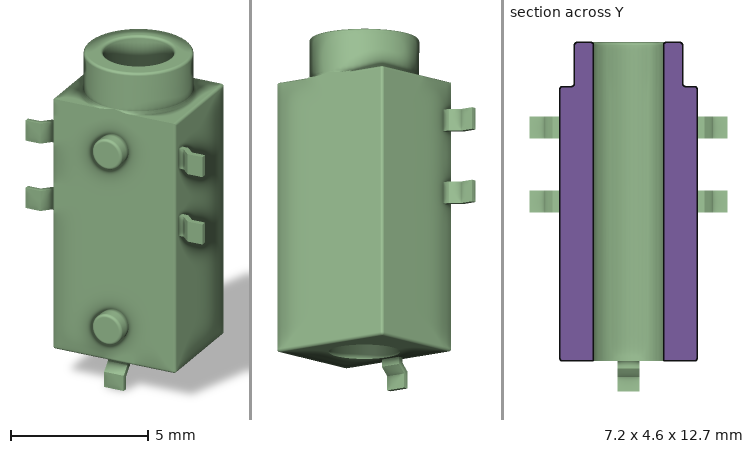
import cadquery as cq
import math

overall_width = 7.2
overall_height = 12.7

block_width = 5.0
block_depth = 4.0
block_height = 10.0
edge_radius = 0.1
land_width = 2.0
board_y = -block_depth / 2

lead_reach = (overall_width - block_width) / 2
lead_width = 0.8
lead_thickness = 0.2
foot_length = 0.61
bend_rise = 0.3
side_lead_heights = (5.8, 8.5)

barrel_radius = block_depth / 2
barrel_height = overall_height - block_height - lead_reach
rim_radius = 0.1
collar_radius = 0.1
bore_radius = 2.6 / 2

peg_diameter = 1.2
peg_length = 0.6
peg_edge_radius = 0.1
peg_heights = (1.5, 8.5)


def make_block():
    """Block with all edges rounded except the top edge on the board side."""
    block = cq.Workplane("XY").box(block_width, block_depth, block_height, centered=(True, True, False))
    return block.edges("not(>Z and <Y)").fillet(edge_radius)


def make_edge_land():
    """Square stretch of the rear top edge that carries the back of the barrel."""
    land = cq.Workplane("XY").box(land_width, edge_radius, edge_radius, centered=(True, False, False))
    return land.translate((0, block_depth / 2 - edge_radius, block_height - edge_radius))


def make_barrel():
    """Solid barrel whose collar is trimmed flush with the front and back of the block."""
    barrel = cq.Workplane("XY").circle(barrel_radius).extrude(barrel_height)
    barrel = barrel.faces(">Z").edges().fillet(rim_radius)
    arc_offset = collar_radius * (1 - math.sin(math.radians(45)))
    collar = (
        cq.Workplane("XZ")
        .lineTo(barrel_radius + collar_radius, 0)
        .threePointArc((barrel_radius + arc_offset, arc_offset), (barrel_radius, collar_radius))
        .lineTo(0, collar_radius)
        .close()
        .revolve(360, (0, 0), (0, 1))
    )
    envelope = cq.Workplane("XY").box(block_width, block_depth, collar_radius, centered=(True, True, False))
    return barrel.union(collar.intersect(envelope)).translate((0, 0, block_height))


def round_bore_mouth(housing):
    """Round the inner edge of the barrel mouth."""
    return housing.faces(">Z").edges(cq.selectors.RadiusNthSelector(0)).fillet(rim_radius)


def make_peg(z):
    """Round locating peg standing out from the board side."""
    peg = cq.Workplane("XZ", origin=(0, board_y, z)).circle(peg_diameter / 2).extrude(peg_length)
    return peg.faces("<Y").edges().fillet(peg_edge_radius)


def make_housing():
    housing = make_block().union(make_edge_land()).union(make_barrel())
    for z in peg_heights:
        housing = housing.union(make_peg(z))
    bore = cq.Workplane("XY").circle(bore_radius).extrude(block_height + barrel_height)
    return round_bore_mouth(housing.cut(bore))


def make_lead():
    """Lead running along +X from X = 0, its foot flush with the board side, centred on Z = 0."""
    corner_shift = lead_thickness * math.tan(math.radians(45 / 2))
    foot_start = lead_reach - foot_length
    shoulder_end = foot_start - bend_rise
    outline = [
        (0, bend_rise),
        (shoulder_end, bend_rise),
        (foot_start, 0),
        (lead_reach, 0),
        (lead_reach, lead_thickness),
        (foot_start + corner_shift, lead_thickness),
        (shoulder_end + corner_shift, bend_rise + lead_thickness),
        (0, bend_rise + lead_thickness),
    ]
    lead = cq.Workplane("XY").polyline(outline).close().extrude(lead_width / 2, both=True)
    return lead.translate((0, board_y, 0))


def make_leads():
    """Two leads on each side of the block and one pointing down from its bottom."""
    leads = []
    for z in side_lead_heights:
        right_lead = make_lead().translate((block_width / 2, 0, z))
        leads.append(right_lead)
        leads.append(right_lead.mirror("YZ"))
    leads.append(make_lead().rotate((0, 0, 0), (0, 1, 0), 90))
    return leads


housing = make_housing()
leads = make_leads()
result = cq.Compound.makeCompound([housing.val(), *[lead.val() for lead in leads]])